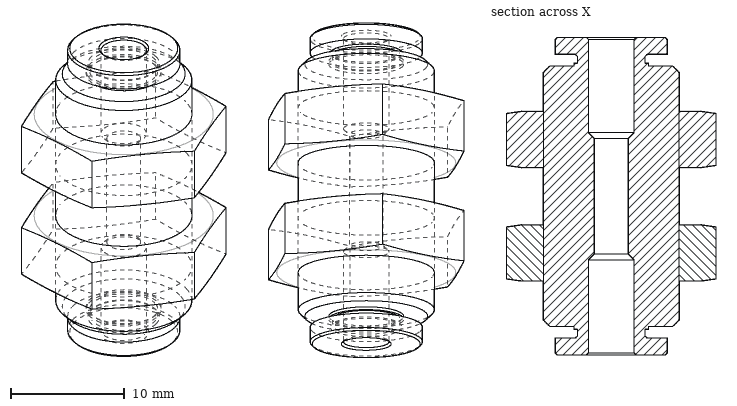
import cadquery as cq
import math

length = 28.0
half_length = length / 2

body_diameter = 12.0
body_end_chamfer = 0.6
flange_diameter = 9.9
flange_chamfer = 0.2
flange_thickness = 1.5
neck_diameter = 6.0
neck_root_diameter = 6.6
neck_root_height = 0.25
neck_top_chamfer = 0.17
neck_length = 1.0

bore_diameter = 3.0
socket_diameter = 4.0
socket_mouth_chamfer = 0.2
socket_depth = 8.4
socket_cone_height = (socket_diameter - bore_diameter) / 2

nut_width = 16.0
nut_corner_diameter = nut_width / math.cos(math.radians(30))
nut_thickness = 4.98
nut_spacing = 10.0
nut_face_diameter = 15.8
nut_corner_drop = 0.2

flange_bottom_z = half_length - flange_thickness
body_top_z = flange_bottom_z - neck_length
socket_floor_z = half_length - socket_depth


def revolve_symmetric(half_profile):
    """Revolve (diameter, z) steps, listed from the top downward, with their mirror image below Z = 0."""
    upper = [(diameter / 2, z) for diameter, z in half_profile]
    lower = [(radius, -z) for radius, z in reversed(upper)]
    outline = [(0, upper[0][1])] + upper + lower + [(0, lower[-1][1])]
    return cq.Workplane("XZ").polyline(outline).close().revolve(360, (0, 0), (0, 1))


def make_body():
    """Cylindrical body with a necked release flange at each end and a stepped bore."""
    outside = revolve_symmetric([
        (flange_diameter - 2 * flange_chamfer, half_length),
        (flange_diameter, half_length - flange_chamfer),
        (flange_diameter, flange_bottom_z),
        (neck_diameter + 2 * neck_top_chamfer, flange_bottom_z),
        (neck_diameter, flange_bottom_z - neck_top_chamfer),
        (neck_diameter, body_top_z + neck_root_height),
        (neck_root_diameter, body_top_z + neck_root_height),
        (neck_root_diameter, body_top_z),
        (body_diameter - 2 * body_end_chamfer, body_top_z),
        (body_diameter, body_top_z - body_end_chamfer),
    ])
    bore = revolve_symmetric([
        (socket_diameter + 2 * socket_mouth_chamfer, half_length),
        (socket_diameter, half_length - socket_mouth_chamfer),
        (socket_diameter, socket_floor_z),
        (bore_diameter, socket_floor_z - socket_cone_height),
    ])
    return outside.cut(bore)


def make_nut(center_z):
    """Hexagonal nut with corners along Y, its corners turned down on both faces."""
    hexagon = (
        cq.Workplane("XY")
        .polygon(6, nut_corner_diameter)
        .extrude(nut_thickness / 2, both=True)
        .rotate((0, 0, 0), (0, 0, 1), 30)
    )
    turned_envelope = revolve_symmetric([
        (nut_face_diameter, nut_thickness / 2),
        (nut_corner_diameter, nut_thickness / 2 - nut_corner_drop),
    ])
    hole = cq.Workplane("XY").circle(body_diameter / 2).extrude(nut_thickness, both=True)
    return hexagon.intersect(turned_envelope).cut(hole).translate((0, 0, center_z))


body = make_body()
nuts = [make_nut(side * nut_spacing / 2) for side in (-1, 1)]

result = cq.Compound.makeCompound([body.val(), *[nut.val() for nut in nuts]])